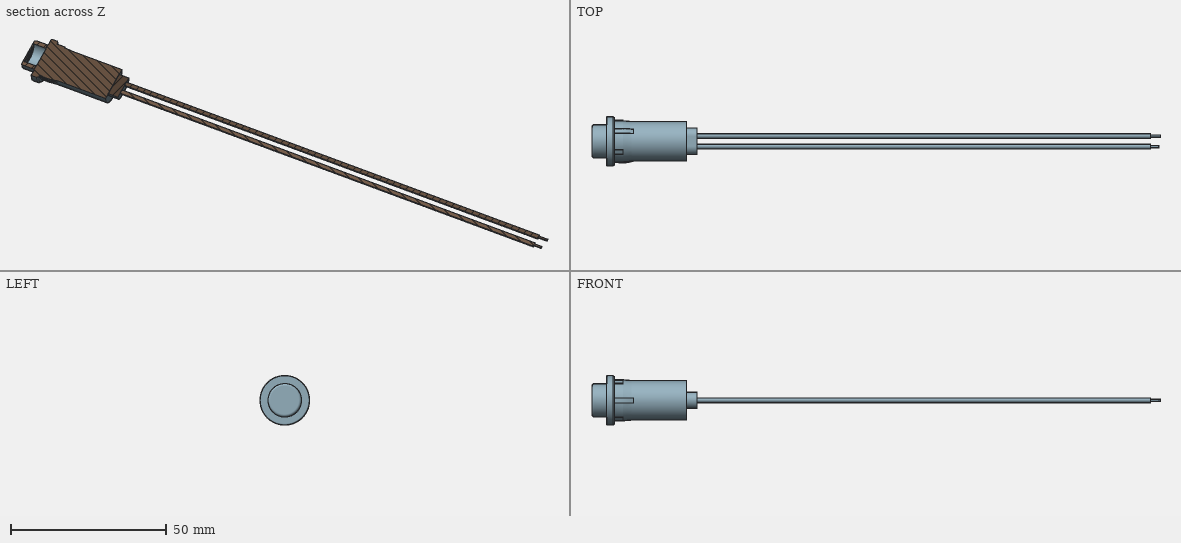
import cadquery as cq


LENS_RADIUS = 5.4
LENS_LENGTH = 4.7
LENS_RIM_FILLET = 0.8
LENS_WALL = 0.65
RING_STEP_HEIGHT = 0.2
LENS_RINGS = ((0.0, 1.2), (2.05, 2.4), (3.4, 3.75))
LENS_CAVITY_RADIUS = LENS_RINGS[-1][1]

FLANGE_RADIUS = 8.0
FLANGE_THICKNESS = 2.6
FLANGE_FRONT_FILLET = 0.4
FLANGE_BACK_CHAMFER = 0.5
COLLAR_RADIUS = 6.65
COLLAR_LENGTH = 2.7
TAPER_LENGTH = 2.8
BARREL_RADIUS = 6.4
HOUSING_END = 30.5

FLANGE_START = LENS_LENGTH
FLANGE_END = FLANGE_START + FLANGE_THICKNESS
COLLAR_END = FLANGE_END + COLLAR_LENGTH
TAPER_END = COLLAR_END + TAPER_LENGTH

RIB_COUNT = 3
RIB_PITCH = 360 / RIB_COUNT
RIB_WIDTH = 1.65
RIB_ROOT_RADIUS = 5.8
RIB_CREST_RADIUS = 6.95
RIB_FRONT_RADIUS = 6.7
RIB_CREST_X = FLANGE_END + 2.0
RIB_END = TAPER_END + 0.5
KEY_RADIUS = 6.95
FIRST_KEY_ANGLE = 0
FIRST_RIB_ANGLE = FIRST_KEY_ANGLE + RIB_PITCH / 2

PLUG_WIDTH = 8.6
PLUG_HEIGHT = 5.2
PLUG_LENGTH = 3.4
PLUG_END = HOUSING_END + PLUG_LENGTH

WIRE_SPACING = 3.4
INSULATION_RADIUS = 0.8
CORE_RADIUS = 0.4
INSULATION_END = 180.0
OVERALL_LENGTH = 183.15
CORE_SHORTFALL = 0.55


def cylinder(radius, start, end, y=0.0):
    """Round bar parallel to X between two X positions."""
    return cq.Workplane("YZ", origin=(start, y, 0)).circle(radius).extrude(end - start)


def make_lens():
    lens = cylinder(LENS_RADIUS, 0, LENS_LENGTH).faces("<X").edges().fillet(LENS_RIM_FILLET)
    lens = lens.cut(cylinder(LENS_CAVITY_RADIUS, LENS_WALL, LENS_LENGTH))
    for inner_radius, outer_radius in LENS_RINGS:
        band = cylinder(outer_radius, LENS_WALL - RING_STEP_HEIGHT, LENS_WALL)
        if inner_radius > 0:
            band = band.cut(cylinder(inner_radius, LENS_WALL - RING_STEP_HEIGHT, LENS_WALL))
        lens = lens.cut(band)
    return lens


def make_flange():
    flange = cylinder(FLANGE_RADIUS, FLANGE_START, FLANGE_END)
    flange = flange.faces("<X").edges().fillet(FLANGE_FRONT_FILLET)
    return flange.faces(">X").edges().chamfer(FLANGE_BACK_CHAMFER)


def make_barrel():
    """Collar, taper and barrel behind the flange."""
    half_profile = (
        cq.Workplane("XY")
        .moveTo(FLANGE_END, 0)
        .lineTo(FLANGE_END, COLLAR_RADIUS)
        .lineTo(COLLAR_END, COLLAR_RADIUS)
        .lineTo(TAPER_END, BARREL_RADIUS)
        .lineTo(HOUSING_END, BARREL_RADIUS)
        .lineTo(HOUSING_END, 0)
        .close()
    )
    return half_profile.revolve(360, (0, 0, 0), (1, 0, 0))


def make_snap_rib():
    """Rib on the +Y side whose top is one long arc, highest over the collar."""
    side = (
        cq.Workplane("XY")
        .moveTo(FLANGE_END, RIB_ROOT_RADIUS)
        .lineTo(FLANGE_END, RIB_FRONT_RADIUS)
        .threePointArc((RIB_CREST_X, RIB_CREST_RADIUS), (RIB_END, BARREL_RADIUS))
        .lineTo(RIB_END, RIB_ROOT_RADIUS)
        .close()
    )
    return side.extrude(RIB_WIDTH / 2, both=True)


def make_key():
    """Block on the +Y side along the collar."""
    key = cq.Workplane("XY").box(
        COLLAR_LENGTH, KEY_RADIUS - RIB_ROOT_RADIUS, RIB_WIDTH, centered=(False, False, True)
    )
    return key.translate((FLANGE_END, RIB_ROOT_RADIUS, 0))


def turned(body, angle):
    """Body turned about the lamp axis."""
    return body.rotate((0, 0, 0), (1, 0, 0), angle)


def make_housing():
    housing = make_flange().union(make_barrel())
    rib = make_snap_rib()
    key = make_key()
    for index in range(RIB_COUNT):
        housing = housing.union(turned(rib, FIRST_RIB_ANGLE + index * RIB_PITCH))
        housing = housing.union(turned(key, FIRST_KEY_ANGLE + index * RIB_PITCH))
    return housing


def make_plug():
    return cq.Workplane("YZ", origin=(HOUSING_END, 0, 0)).slot2D(PLUG_WIDTH, PLUG_HEIGHT).extrude(PLUG_LENGTH)


def make_wire(y, core_end):
    """Insulated wire with a bare core at its free end."""
    insulation = cylinder(INSULATION_RADIUS, PLUG_END, INSULATION_END, y)
    return insulation.union(cylinder(CORE_RADIUS, INSULATION_END, core_end, y))


lens = make_lens()
housing = make_housing()
plug = make_plug()
wires = []
for side, core_end in ((-1, OVERALL_LENGTH - CORE_SHORTFALL), (1, OVERALL_LENGTH)):
    wires.append(make_wire(side * WIRE_SPACING / 2, core_end))

result = cq.Compound.makeCompound([lens.val(), housing.val(), plug.val(), *[wire.val() for wire in wires]])